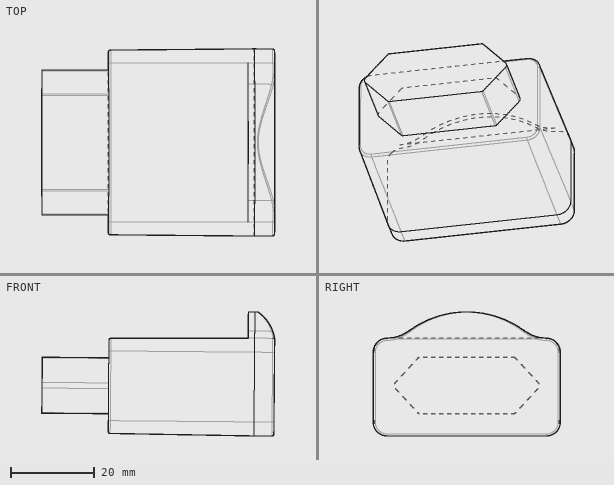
import cadquery as cq
import math

TILT = 0.5
DRAFT = 0.5

WIDTH = 45.02
HEIGHT = 23.55
CORNER_RADIUS = 3.4
RIM_FILLET = 0.5

HOUSING_LENGTH = 35.0
CAP_LENGTH = 4.83
PLUG_LENGTH = 16.0

GRIP_HEIGHT = 6.3
GRIP_CREST_HALF = 14.0
GRIP_HALF = WIDTH / 2 - CORNER_RADIUS
GRIP_BACK = 1.6

SCOOP_TOP_X = 0.7
SCOOP_DROP = 0.2
SCOOP_FILLET = 0.4
SCOOP_BULGE = 0.82

PLUG_HEIGHT = 13.5
PLUG_FLAT = 23.1
PLUG_WIDTH = 35.6
PLUG_POINT_RADIUS = 1.0
PLUG_CORNER_RADIUS = 0.5

TOP_Z = HEIGHT / 2
CREST_Z = TOP_Z + GRIP_HEIGHT
CUT_MARGIN = 5.0


def section_plane(x, normal):
    """Cross-section plane at x, facing +X (normal 1) or -X (normal -1); sketch x runs along Y."""
    return cq.Plane(origin=(x, 0, 0), xDir=(0, 1, 0), normal=(normal, 0, 0))


def plain_shell(length):
    """Rounded rectangle tapering from the parting plane toward -X."""
    outline = cq.Sketch().rect(WIDTH, HEIGHT).vertices().fillet(CORNER_RADIUS)
    return cq.Workplane(section_plane(0, -1)).placeSketch(outline).extrude(length, taper=DRAFT)


def gripped_shell(length, normal):
    """Rounded rectangle with the grip on top, tapering away from the parting plane."""
    turn = 2 * math.atan(GRIP_HEIGHT / GRIP_HALF)
    crest_radius = GRIP_CREST_HALF / math.sin(turn)
    foot_radius = (GRIP_HALF - GRIP_CREST_HALF) / math.sin(turn)
    meet_z = CREST_Z - crest_radius * (1 - math.cos(turn))
    foot_mid_y = GRIP_HALF - foot_radius * math.sin(turn / 2)
    foot_mid_z = TOP_Z + foot_radius * (1 - math.cos(turn / 2))

    def at(y, z):
        return (y, z * normal)

    side = WIDTH / 2
    corner_mid = CORNER_RADIUS * (1 - math.sqrt(0.5))
    return (
        cq.Workplane(section_plane(0, normal))
        .moveTo(*at(-GRIP_HALF, TOP_Z))
        .threePointArc(at(-foot_mid_y, foot_mid_z), at(-GRIP_CREST_HALF, meet_z))
        .threePointArc(at(0, CREST_Z), at(GRIP_CREST_HALF, meet_z))
        .threePointArc(at(foot_mid_y, foot_mid_z), at(GRIP_HALF, TOP_Z))
        .threePointArc(at(side - corner_mid, TOP_Z - corner_mid), at(side, TOP_Z - CORNER_RADIUS))
        .lineTo(*at(side, CORNER_RADIUS - TOP_Z))
        .threePointArc(at(side - corner_mid, corner_mid - TOP_Z), at(GRIP_HALF, -TOP_Z))
        .lineTo(*at(-GRIP_HALF, -TOP_Z))
        .threePointArc(at(corner_mid - side, corner_mid - TOP_Z), at(-side, CORNER_RADIUS - TOP_Z))
        .lineTo(*at(-side, TOP_Z - CORNER_RADIUS))
        .threePointArc(at(corner_mid - side, TOP_Z - corner_mid), at(-GRIP_HALF, TOP_Z))
        .close()
        .extrude(length, taper=DRAFT)
    )


def make_housing():
    """Tapered shell with a rounded outer rim, carrying the back part of the grip."""
    shell = plain_shell(HOUSING_LENGTH).faces("<X").edges().fillet(RIM_FILLET)
    grip_zone = cq.Workplane().box(2 * GRIP_BACK, 2 * GRIP_HALF, CREST_Z, centered=(True, True, False))
    return shell.union(gripped_shell(GRIP_BACK, -1).intersect(grip_zone))


def make_scoop():
    """Block in front of the arc that hollows the grip's front."""
    bottom_z = TOP_Z - SCOOP_DROP
    run = CAP_LENGTH - SCOOP_TOP_X
    drop = CREST_Z - bottom_z
    chord = math.hypot(run, drop)
    middle = (
        (SCOOP_TOP_X + CAP_LENGTH) / 2 + SCOOP_BULGE * drop / chord,
        (CREST_Z + bottom_z) / 2 + SCOOP_BULGE * run / chord,
    )
    far_x = CAP_LENGTH + CUT_MARGIN
    far_z = CREST_Z + CUT_MARGIN
    return (
        cq.Workplane("XZ")
        .moveTo(SCOOP_TOP_X, CREST_Z)
        .threePointArc(middle, (CAP_LENGTH, bottom_z))
        .lineTo(far_x, bottom_z)
        .lineTo(far_x, far_z)
        .lineTo(SCOOP_TOP_X, far_z)
        .close()
        .extrude(WIDTH / 2, both=True)
    )


def make_cap():
    """Tapered end cap with the hollowed front part of the grip."""
    cap = gripped_shell(CAP_LENGTH, 1).faces(">X").edges().fillet(RIM_FILLET)
    cap = cap.cut(make_scoop())
    scoop_zone = cq.selectors.BoxSelector((SCOOP_TOP_X, -GRIP_HALF, TOP_Z), (CAP_LENGTH, GRIP_HALF, CREST_Z))
    scoop_face = cap.faces(scoop_zone).faces("%CYLINDER")
    return scoop_face.edges("not |Y").fillet(SCOOP_FILLET)


def make_plug():
    """Straight hexagonal prism with rounded edges, standing on the housing's end face."""
    half_flat = PLUG_FLAT / 2
    half_height = PLUG_HEIGHT / 2
    half_width = PLUG_WIDTH / 2
    hexagon = [
        (-half_flat, half_height),
        (half_flat, half_height),
        (half_width, 0),
        (half_flat, -half_height),
        (-half_flat, -half_height),
        (-half_width, 0),
    ]
    plug = cq.Workplane(section_plane(-HOUSING_LENGTH, -1)).polyline(hexagon).close().extrude(PLUG_LENGTH)
    plug = plug.edges("|X").edges("<Y or >Y").fillet(PLUG_POINT_RADIUS)
    return plug.edges("|X").edges("<Z or >Z").fillet(PLUG_CORNER_RADIUS)


def tilted(body):
    """Tip the body about Y so its +X end dips."""
    return body.rotate((0, 0, 0), (0, 1, 0), TILT)


housing = tilted(make_housing())
cap = tilted(make_cap())
plug = tilted(make_plug())

result = cq.Compound.makeCompound([body.solids().val() for body in (housing, cap, plug)])